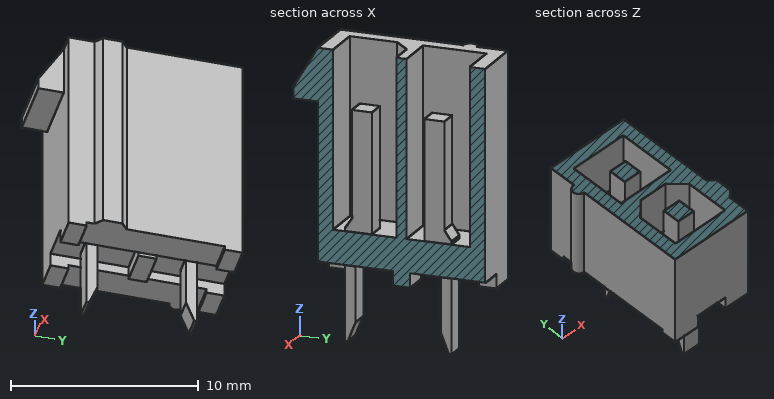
import cadquery as cq


TOTAL_Z = 16.3
BODY_X = 5.38
BODY_Y = 9.6
BODY_Z = 12.85
FOOT_HEIGHT = 0.23
FOOT_LENGTH = 1.0

POCKET_PITCH = 4.2
POCKET_SIDE = 3.62
POCKET_CHAMFER = POCKET_SIDE / 4
POCKET_DEPTH = 10.1

RIB_HEIGHT = 0.4
ROUND_RIB_Y = BODY_Y / 2 - 2.18
FLAT_RIB_Y = -BODY_Y / 2 + 2.31
FLAT_RIB_BASE = 1.78
FLAT_RIB_CREST = 1.06

LATCH_WIDTH = 3.39
LATCH_REACH = 1.4
LATCH_RAMP_Z = 2.35
LATCH_Z = 3.05

NOTCH_WIDTH = 2.0
NOTCH_HEIGHT = 0.82
NOTCH_LENGTH = (BODY_Y - FOOT_LENGTH) / 2

PIN_WIDTH = 1.14
PIN_SHIFT = -0.2
CONTACT_PITCH = 4.14
TAIL_PITCH = 5.5
TAIL_THICKNESS = 0.62
TAIL_LENGTH = TOTAL_Z - BODY_Z
TAIL_BEVEL = 1.14
TAIL_TIP = 0.16
CONTACT_RECESS = 3.26
CONTACT_TOP = BODY_Z - CONTACT_RECESS
POCKET_FLOOR = BODY_Z - POCKET_DEPTH
SHOULDER_STEP = 0.16
SHOULDER_BASE = POCKET_FLOOR + SHOULDER_STEP
SHOULDER_RISE = 0.59


def box(x_size, y_size, z_low, z_high, y=0):
    """Block centred on X = 0 and on the given Y, between two heights."""
    return (
        cq.Workplane("XY", origin=(0, y, z_low))
        .rect(x_size, y_size)
        .extrude(z_high - z_low)
    )


def make_housing():
    """Block standing on two full-width end feet and a narrower middle foot."""
    housing = box(BODY_X, BODY_Y, FOOT_HEIGHT, BODY_Z)
    end_foot_y = (BODY_Y - FOOT_LENGTH) / 2
    for y in (-end_foot_y, end_foot_y):
        housing = housing.union(box(BODY_X, FOOT_LENGTH, 0, FOOT_HEIGHT, y))
    return housing.union(box(NOTCH_WIDTH, FOOT_LENGTH, 0, FOOT_HEIGHT))


def make_pockets():
    """Square rear pocket and front pocket with its two rear corners chamfered."""
    rear = box(POCKET_SIDE, POCKET_SIDE, POCKET_FLOOR, BODY_Z, POCKET_PITCH / 2)
    front = box(POCKET_SIDE, POCKET_SIDE, POCKET_FLOOR, BODY_Z, -POCKET_PITCH / 2)
    front = front.faces(">Y").edges("|Z").chamfer(POCKET_CHAMFER)
    return rear.union(front)


def make_notches():
    """Notches open to an end face and to the underside, reaching in to the middle foot."""
    notch_y = (BODY_Y - NOTCH_LENGTH) / 2
    front = box(NOTCH_WIDTH, NOTCH_LENGTH, 0, NOTCH_HEIGHT, -notch_y)
    rear = box(NOTCH_WIDTH, NOTCH_LENGTH, 0, NOTCH_HEIGHT, notch_y)
    return front.union(rear)


def make_ribs():
    """Half-round rib on the -X side and trapezoidal rib on the +X side."""
    rib_length = BODY_Z - FOOT_HEIGHT
    side = BODY_X / 2
    base = cq.Workplane("XY", origin=(0, 0, FOOT_HEIGHT))
    round_rib = base.center(-side, ROUND_RIB_Y).circle(RIB_HEIGHT).extrude(rib_length)
    flat_rib = (
        base.center(side, FLAT_RIB_Y)
        .moveTo(0, -FLAT_RIB_BASE / 2)
        .lineTo(RIB_HEIGHT, -FLAT_RIB_CREST / 2)
        .lineTo(RIB_HEIGHT, FLAT_RIB_CREST / 2)
        .lineTo(0, FLAT_RIB_BASE / 2)
        .close()
        .extrude(rib_length)
    )
    return round_rib.union(flat_rib)


def make_latch():
    """Ramp that starts at the top edge of the front face and ends in a flat catch."""
    face_y = -BODY_Y / 2
    tip_y = face_y - LATCH_REACH
    outline = [
        (face_y, BODY_Z),
        (tip_y, BODY_Z - LATCH_RAMP_Z),
        (tip_y, BODY_Z - LATCH_Z),
        (face_y, BODY_Z - LATCH_Z),
    ]
    return cq.Workplane("YZ").polyline(outline).close().extrude(LATCH_WIDTH / 2, both=True)


def make_pin(side):
    """Pin for the rear (side = 1) or front (side = -1) pocket."""
    contact_y = PIN_SHIFT + side * CONTACT_PITCH / 2
    contact_inner = contact_y - side * PIN_WIDTH / 2
    contact_outer = contact_y + side * PIN_WIDTH / 2
    tail_y = PIN_SHIFT + side * TAIL_PITCH / 2
    tail_inner = tail_y - side * TAIL_THICKNESS / 2
    tail_outer = tail_y + side * TAIL_THICKNESS / 2
    outline = [
        (contact_inner, CONTACT_TOP),
        (contact_outer, CONTACT_TOP),
        (contact_outer, SHOULDER_BASE + SHOULDER_RISE),
        (tail_outer, SHOULDER_BASE),
        (tail_outer, -TAIL_LENGTH),
        (tail_outer - side * TAIL_TIP, -TAIL_LENGTH),
        (tail_inner, -TAIL_LENGTH + TAIL_BEVEL),
        (tail_inner, POCKET_FLOOR),
        (contact_inner, POCKET_FLOOR),
    ]
    return cq.Workplane("YZ").polyline(outline).close().extrude(PIN_WIDTH / 2, both=True)


result = make_housing().union(make_ribs()).union(make_latch())
result = result.cut(make_pockets()).cut(make_notches())
for pocket_side in (1, -1):
    result = result.union(make_pin(pocket_side))